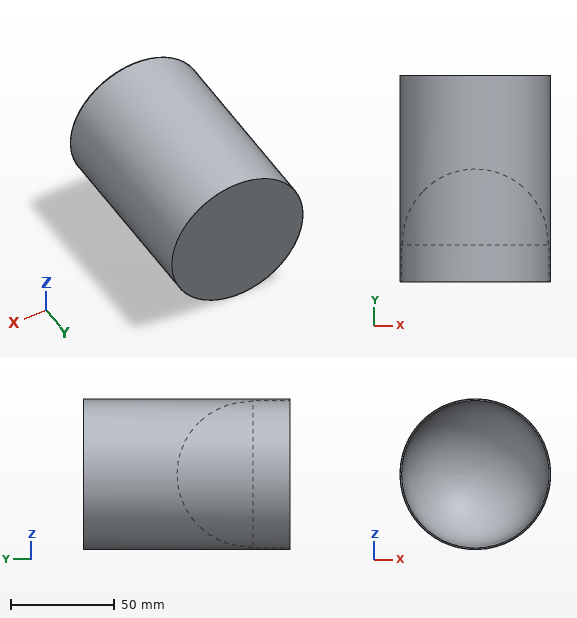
import cadquery as cq

length = 100.0
outer_diameter = 73.0
outer_radius = outer_diameter / 2
rim_rounding = 0.5

rim_width = 0.8
mouth_radius = outer_radius - rim_width
mouth_depth = 18.0
ledge_width = 0.5
dome_radius = mouth_radius - ledge_width
dome_start_depth = 19.5

front_y = -length / 2
back_y = length / 2
ledge_y = front_y + mouth_depth
dome_y = front_y + dome_start_depth


def make_part():
    """Revolve the half section of the rounded-rim cylinder and its round-bottomed hollow."""
    arc_offset = dome_radius / 2 ** 0.5
    section = (
        cq.Workplane("XY")
        .moveTo(0, back_y)
        .lineTo(-outer_radius, back_y)
        .lineTo(-outer_radius, front_y + rim_rounding)
        .tangentArcPoint((-outer_radius + rim_rounding, front_y), relative=False)
        .lineTo(-mouth_radius, front_y)
        .lineTo(-mouth_radius, ledge_y)
        .lineTo(-dome_radius, dome_y)
        .threePointArc((-arc_offset, dome_y + arc_offset), (0, dome_y + dome_radius))
        .close()
    )
    return section.revolve(360, (0, 0, 0), (0, 1, 0))


result = make_part()